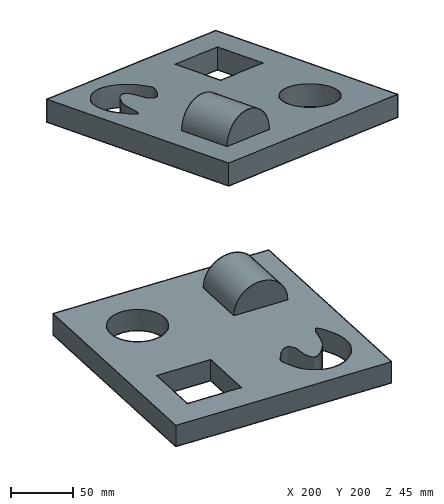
import cadquery as cq

plate_side = 200.0
plate_thickness = 20.0

feature_size = plate_side / 4
near_center = plate_side / 4
far_center = plate_side - near_center

hook_points = [
    (43.5, 76.5),
    (56.5, 70.2),
    (61.5, 60.5),
    (57.0, 57.0),
    (47.0, 55.8),
    (37.5, 50.5),
    (46.8, 37.8),
    (58.8, 32.5),
    (75.0, 26.5),
    (68.5, 21.5),
    (53.5, 15.8),
    (38.5, 16.2),
    (20.8, 30.0),
    (16.0, 45.5),
    (23.5, 65.0),
    (32.2, 72.0),
]


def square_opening():
    return (
        cq.Workplane("XY")
        .center(near_center, far_center)
        .rect(feature_size, feature_size)
        .extrude(plate_thickness)
    )


def round_opening():
    return (
        cq.Workplane("XY")
        .center(far_center, far_center)
        .circle(feature_size / 2)
        .extrude(plate_thickness)
    )


def hooked_opening():
    return cq.Workplane("XY").spline(hook_points, periodic=True).close().extrude(plate_thickness)


def half_cylinder():
    """Half-round boss lying on the plate with its axis along X."""
    radius = feature_size / 2
    start_x = far_center - feature_size / 2
    return (
        cq.Workplane("YZ", origin=(start_x, near_center, plate_thickness))
        .moveTo(-radius, 0)
        .threePointArc((0, radius), (radius, 0))
        .close()
        .extrude(feature_size)
    )


plate = cq.Workplane("XY").box(plate_side, plate_side, plate_thickness, centered=False)

result = (
    plate.cut(square_opening())
    .cut(round_opening())
    .cut(hooked_opening())
    .union(half_cylinder())
)